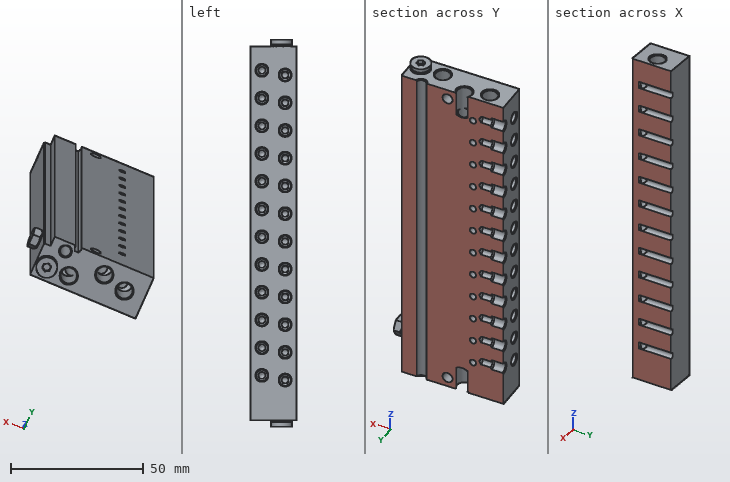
import cadquery as cq
import math

block_x = 43.5
block_y = 17.5
total_x = 47.0
total_z = 146.5
head_height = 2.5
front_chamfer = 0.1
block_z = total_z - 2 * head_height
top_z = block_z / 2

step_x = 2.6
step_y = 4.0
step_chamfer = 0.5

groove_x = 30.9
groove_width = 2.5
groove_depth = 2.2
groove_floor_width = 1.5
groove_taper_height = 1.3

supply_channels = [
    ((8.2, 8.4), (9.1, 8.2)),
    ((17.7, 11.1), (18.5, 10.4)),
    ((29.9, 5.4), (28.9, 5.1)),
]
channel_diameter = 4.2
bore_diameter = 6.2
bore_rim_diameter = 7.0
bore_depth = 10.3

pilot_centre = (34.9, 13.8)
pilot_diameter = 4.1
pilot_rim_diameter = 5.0

mount_x = 23.9
mount_inset = 4.2
mount_diameter = 4.1

port_count = 12
port_column_length = 115.5
port_pitch = port_column_length / (port_count - 1)
port_offset_y = 4.4
rear_port_y = block_y / 2 + port_offset_y
front_port_y = block_y / 2 - port_offset_y
first_port_inset = 9.1
port_stagger = 1.8
rear_port_first_z = top_z - first_port_inset
front_port_first_z = rear_port_first_z - port_stagger
port_rim_diameter = 5.0
port_diameter = 4.2
port_depth = 5.0
rear_drill_diameter = 2.6
rear_drill_depth = 9.5
drill_point_angle = math.radians(118)

passage_x = 13.0
passage_diameter = 2.5

plug_centre = (39.1, 5.7)
plug_diameter = 8.0
plug_groove_diameter = 7.6
plug_groove_start = 0.3
plug_groove_height = 0.5
socket_corner_diameter = 3.4
socket_depth = 1.6

fitting_length = total_x - block_x
fitting_centre_y = 9.1
fitting_centre_z = -52.2
fitting_corner_diameter = 8.0
fitting_base_chamfer = 0.9
fitting_end_chamfer = 0.3


def point_depth(diameter):
    """Length of the conical end of a drilled hole."""
    return diameter / 2 / math.tan(drill_point_angle / 2)


def block_body():
    """Stepped block with chamfers on the step corner and the two front edges."""
    step_face_y = block_y - step_y
    outline = [
        (0, front_chamfer),
        (front_chamfer, 0),
        (block_x - front_chamfer, 0),
        (block_x, front_chamfer),
        (block_x, step_face_y - step_chamfer),
        (block_x - step_chamfer, step_face_y),
        (block_x - step_x, step_face_y),
        (block_x - step_x, block_y),
        (0, block_y),
    ]
    return cq.Workplane("XY", origin=(0, 0, -top_z)).polyline(outline).close().extrude(block_z)


def rear_groove():
    """Full-height groove whose walls taper in towards the floor."""
    half = groove_width / 2
    floor_half = groove_floor_width / 2
    floor_y = block_y - groove_depth
    taper_y = floor_y + groove_taper_height
    outline = [
        (groove_x - half, block_y),
        (groove_x - half, taper_y),
        (groove_x - floor_half, floor_y),
        (groove_x + floor_half, floor_y),
        (groove_x + half, taper_y),
        (groove_x + half, block_y),
    ]
    return cq.Workplane("XY", origin=(0, 0, -top_z)).polyline(outline).close().extrude(block_z)


def end_bore(centre, diameter, rim_diameter, depth):
    """Drilled blind bore in the top end with a 45 degree rim."""
    rim = (rim_diameter - diameter) / 2
    profile = [
        (0, 0),
        (rim_diameter / 2, 0),
        (diameter / 2, -rim),
        (diameter / 2, -depth),
        (0, -depth - point_depth(diameter)),
    ]
    bore = cq.Workplane("XZ").polyline(profile).close().revolve(360, (0, 0), (0, 1))
    return bore.translate((*centre, top_z))


def end_bores(centre, diameter, rim_diameter, depth):
    """The same bore in both ends of the block."""
    top_bore = end_bore(centre, diameter, rim_diameter, depth)
    return top_bore.union(top_bore.mirror("XY"))


def channel(centre, diameter):
    """Round channel through the full height."""
    return cq.Workplane("XY", origin=(*centre, -top_z)).circle(diameter / 2).extrude(block_z)


def port(y, z, drill_diameter, drill_depth, tip_depth):
    """Stepped port on the left face, revolved about its X axis, ending at tip_depth."""
    rim = (port_rim_diameter - port_diameter) / 2
    shoulder_depth = port_depth + point_depth(port_diameter) - point_depth(drill_diameter)
    profile = [
        (0, 0),
        (0, port_rim_diameter / 2),
        (rim, port_diameter / 2),
        (port_depth, port_diameter / 2),
        (shoulder_depth, drill_diameter / 2),
        (drill_depth, drill_diameter / 2),
        (tip_depth, 0),
    ]
    hole = cq.Workplane("XY").polyline(profile).close().revolve(360, (0, 0), (1, 0))
    return hole.translate((0, y, z))


def rear_port(z):
    """Blind port with a drilled point."""
    tip_depth = rear_drill_depth + point_depth(rear_drill_diameter)
    return port(rear_port_y, z, rear_drill_diameter, rear_drill_depth, tip_depth)


def front_port(z):
    """Port that meets its cross passage."""
    hole = port(front_port_y, z, passage_diameter, passage_x, passage_x)
    passage = cq.Workplane("XZ", origin=(passage_x, block_y, z)).circle(passage_diameter / 2)
    passage_length = block_y - front_port_y + passage_diameter / 2
    return hole.union(passage.extrude(passage_length))


def make_block():
    """Block with its groove, channels, mounting holes and ports."""
    block = block_body().cut(rear_groove())
    for bore_centre, channel_centre in supply_channels:
        block = block.cut(end_bores(bore_centre, bore_diameter, bore_rim_diameter, bore_depth))
        block = block.cut(channel(channel_centre, channel_diameter))
    block = block.cut(end_bores(pilot_centre, pilot_diameter, pilot_rim_diameter, bore_depth))
    block = block.cut(channel(pilot_centre, pilot_diameter))
    mount_z = top_z - mount_inset
    for z in (-mount_z, mount_z):
        hole = cq.Workplane("XZ", origin=(mount_x, 0, z)).circle(mount_diameter / 2).extrude(-block_y)
        block = block.cut(hole)
    for i in range(port_count):
        block = block.cut(rear_port(rear_port_first_z - i * port_pitch))
        block = block.cut(front_port(front_port_first_z - i * port_pitch))
    return block


def make_plug(end):
    """Grooved plug head on one end of the block; end is +1 for the top and -1 for the bottom."""
    head = cq.Workplane("XY", origin=(*plug_centre, top_z)).circle(plug_diameter / 2).extrude(head_height)
    groove = cq.Workplane("XY", origin=(*plug_centre, top_z + plug_groove_start))
    groove = groove.circle(plug_diameter / 2).circle(plug_groove_diameter / 2).extrude(plug_groove_height)
    socket = cq.Workplane("XY", origin=(*plug_centre, total_z / 2))
    socket = socket.transformed(rotate=(0, 0, 90)).polygon(6, socket_corner_diameter).extrude(-socket_depth)
    plug = head.cut(groove).cut(socket)
    if end < 0:
        plug = plug.mirror("XY")
    return plug


def make_fitting():
    """Hexagonal fitting with corners along Y, its corners turned off at both ends."""
    plane = cq.Workplane("YZ", origin=(block_x, fitting_centre_y, fitting_centre_z))
    hexagon = plane.polygon(6, fitting_corner_diameter).extrude(fitting_length)
    turned = plane.circle(fitting_corner_diameter / 2).extrude(fitting_length)
    turned = turned.edges("<X").chamfer(fitting_base_chamfer).edges(">X").chamfer(fitting_end_chamfer)
    return hexagon.intersect(turned)


block = make_block()
plugs = [make_plug(end) for end in (1, -1)]
fitting = make_fitting()

result = cq.Compound.makeCompound([block.val(), *[plug.val() for plug in plugs], fitting.val()])